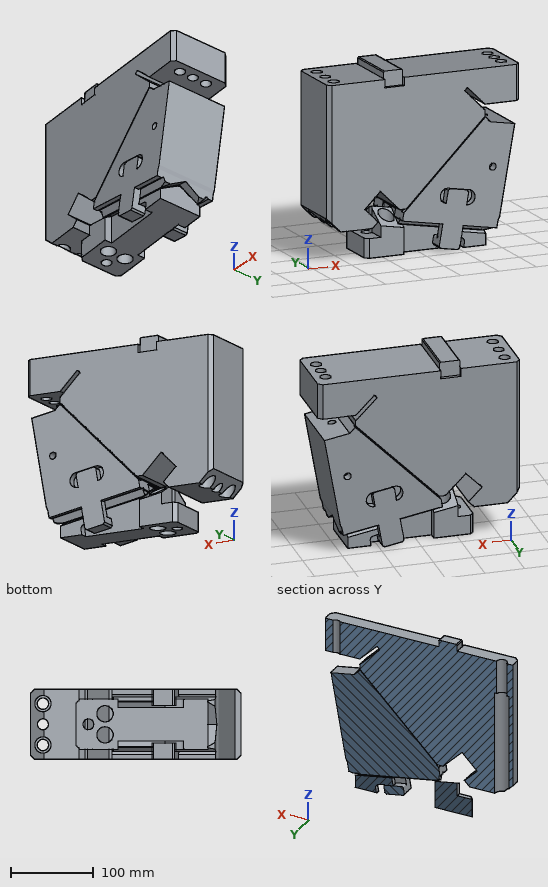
import cadquery as cq
import math

LENGTH = 255.0
WIDTH = 85.0
HALF_WIDTH = WIDTH / 2
HEIGHT = 234.0
CORNER_CHAMFER = 5.0
DOWEL_DIAMETER = 13.0
FACE_GAP = 1.0
FACE_SLOPE = 45.0

HOLDER_TOP = 225.0
HOLDER_BOTTOM = 40.5
HOLDER_END_CHAMFER = 16.8
NOSE_X = 208.3
ARM_BOTTOM = 179.5
SLOT_DEPTH = 23.5
SLOT_STEP = 3.5
NOTCH_APEX_X = 69.4
NOTCH_APEX_Z = 85.7
NOTCH_LEFT_SIDE = 20.5
NOTCH_FLOOR_SIDE = 17.3
NOTCH_RIGHT_END_Z = 60.0
HOLE_INSET = 15.3
BOLT_DIAMETER = 13.5
BOLT_HEAD_DIAMETER = 19.6
LEFT_BOLT_OFFSET = 25.0
RIGHT_BOLT_OFFSET = 20.0

KEY_START = 75.5
KEY_WIDTH = 25.5
KEY_LENGTH = 75.5
KEY_GROOVE_DEPTH = 10.5
KEY_CHAMFER = 1.3

TILT = 10.0
SLIDER_CORNER_X = 98.7
SLIDER_CORNER_Z = 45.5
SLIDER_NOSE_HEIGHT = 10.2
SLIDER_FACE_LENGTH = 153.3
SLIDER_TOP_CHAMFER = 10.0
SLIDER_TOP_LENGTH = 32.5
SLIDER_STEP_TOP = 14.5
SLIDER_STEP_BOTTOM = 9.5
SLIDER_STEP = 1.3
RIDGE_START = 1.8
END_RELIEF_WIDTH = 36.2
FACE_LEDGE = 6.5
TOP_HOLE_U = 106.0
TOP_HOLE_DIAMETER = 9.7
TOP_HOLE_DEPTH = 51.0
PIN_HOLE_X = 218.5
PIN_HOLE_Z = 100.5
PIN_HOLE_DIAMETER = 8.7
PIN_HOLE_DEPTH = 12.8
DRILL_ANGLE = 118.0

RIM_EDGE = 36.2
PEAK_EDGE = 33.0
ROOF_ANGLE = 30.0
RIDGE_DROP = 6.6
RIDGE_END_LENGTH = 10.0
RIDGE_END_RISE = 3.5
LINER_THICKNESS = 1.0
LINER_EDGE = 27.5
LINER_INSET = 2.5

PLATE_LEFT = 54.3
PLATE_WIDTH = 27.5
PLATE_TOP = 44.0
PLATE_BOTTOM = -30.3
PLATE_CHAMFER = 2.3
PLATE_INNER = 33.0
RELIEF_RADIUS = 9.5
RELIEF_TOP = 44.5
HOOK_TOP = -17.8
HOOK_INNER = 22.7
HOOK_RADIUS = 2.0

BASE_LEFT = 55.3
BASE_CHAMFER = 4.8
BASE_RIGHT = 214.7
BASE_HALF_WIDTH = 30.3
FLANGE_TOP = 24.7
BASE_STEP_X = 75.5
ROOF_EDGE_V = -10.2
RECESS_LEFT = 106.0
RECESS_DEPTH = 10.2
RECESS_CLEARANCE = 11.2
RECESS_RADIUS = 5.0
BASE_DOWEL_BACK = 1.3
BASE_BOLT_X = 90.3
BASE_BOLT_OFFSET = 12.8
BASE_BOLT_DIAMETER = 19.6

TILT_ANGLE = math.radians(TILT)
FACE_DIRECTION = FACE_SLOPE + TILT
SLIDER_FACE_ANGLE = math.radians(FACE_DIRECTION)
SLIDER_FACE_RISE = SLIDER_FACE_LENGTH * math.sin(SLIDER_FACE_ANGLE)
SLIDER_FACE_RUN = SLIDER_FACE_LENGTH * math.cos(SLIDER_FACE_ANGLE)
SLIDER_TOP = SLIDER_NOSE_HEIGHT + SLIDER_FACE_RISE - SLIDER_TOP_CHAMFER * math.cos(SLIDER_FACE_ANGLE)
SLIDER_RIGHT = SLIDER_FACE_RUN + SLIDER_TOP_CHAMFER * math.sin(SLIDER_FACE_ANGLE) + SLIDER_TOP_LENGTH

PLATE_RIGHT = PLATE_LEFT + PLATE_WIDTH
PLATE_THICKNESS = HALF_WIDTH - PLATE_INNER
RECESS_FLOOR = BASE_HALF_WIDTH - RECESS_DEPTH
ROOF_TILT = math.radians(ROOF_ANGLE)
ROOF_SLOPE = math.tan(ROOF_TILT)
PEAK_V = (RIM_EDGE - PEAK_EDGE) * ROOF_SLOPE
RIDGE_Y = PEAK_EDGE - (PEAK_V + RIDGE_DROP) * ROOF_SLOPE

FAR = 2 * LENGTH

FACE_OFFSET = (
    SLIDER_CORNER_X
    - SLIDER_CORNER_Z
    + SLIDER_NOSE_HEIGHT * (math.sin(TILT_ANGLE) - math.cos(TILT_ANGLE))
    - FACE_GAP * math.sqrt(2)
)


def upright_plane(y):
    """XZ plane at a given Y whose normal points to -Y."""
    return cq.Workplane("XZ", origin=(0, y, 0))


def tilted_plane(y):
    """UV plane of the slider at a given Y, whose normal points to -Y."""
    return cq.Workplane(
        cq.Plane(
            origin=(SLIDER_CORNER_X, y, SLIDER_CORNER_Z),
            xDir=(math.cos(TILT_ANGLE), 0, -math.sin(TILT_ANGLE)),
            normal=(0, -1, 0),
        )
    )


def section_plane(u):
    """Plane across the slider at a given U: its x is Y and its y is V."""
    corner = tilted_plane(0).plane
    return cq.Workplane(
        cq.Plane(origin=corner.toWorldCoords((u, 0, 0)), xDir=(0, 1, 0), normal=corner.xDir)
    )


def both_sides(shape):
    return shape.union(shape.mirror("XZ"))


def vertical_hole(x, y, diameter, bottom, top):
    return cq.Workplane("XY", origin=(x, y, bottom)).circle(diameter / 2).extrude(top - bottom)




def holder_block():
    notch_left_x = NOTCH_APEX_X - NOTCH_LEFT_SIDE
    notch_left_z = NOTCH_APEX_Z - NOTCH_LEFT_SIDE
    notch_tip_x = notch_left_x + NOTCH_FLOOR_SIDE
    notch_tip_z = notch_left_z - NOTCH_FLOOR_SIDE
    slot_end_x = NOSE_X - SLOT_DEPTH
    slot_end_z = ARM_BOTTOM + SLOT_DEPTH
    outline = [
        (0, HOLDER_TOP),
        (0, HOLDER_BOTTOM + HOLDER_END_CHAMFER),
        (HOLDER_END_CHAMFER, HOLDER_BOTTOM),
        (notch_tip_x - (notch_tip_z - HOLDER_BOTTOM), HOLDER_BOTTOM),
        (notch_tip_x, notch_tip_z),
        (notch_left_x, notch_left_z),
        (NOTCH_APEX_X, NOTCH_APEX_Z),
        (NOTCH_APEX_X + NOTCH_APEX_Z - NOTCH_RIGHT_END_Z, NOTCH_RIGHT_END_Z),
        (NOTCH_RIGHT_END_Z + FACE_OFFSET, NOTCH_RIGHT_END_Z),
        (NOSE_X, NOSE_X - FACE_OFFSET),
        (NOSE_X, ARM_BOTTOM - 2 * SLOT_STEP),
        (slot_end_x - SLOT_STEP, slot_end_z - SLOT_STEP),
        (slot_end_x, slot_end_z),
        (NOSE_X, ARM_BOTTOM),
        (LENGTH, ARM_BOTTOM),
        (LENGTH, HOLDER_TOP),
    ]
    profile = upright_plane(HALF_WIDTH).polyline(outline).close().extrude(WIDTH)
    plan = (
        cq.Workplane("XY")
        .center(LENGTH / 2, 0)
        .rect(LENGTH, WIDTH)
        .extrude(HOLDER_TOP)
        .edges("|Z")
        .chamfer(CORNER_CHAMFER)
    )
    return profile.intersect(plan)


def key():
    """Key standing in its groove; it is one piece with the holder."""
    bottom = HOLDER_TOP - KEY_GROOVE_DEPTH
    return (
        cq.Workplane("XY", origin=(KEY_START + KEY_WIDTH / 2, 0, bottom))
        .rect(KEY_WIDTH, KEY_LENGTH)
        .extrude(HEIGHT - bottom)
        .edges("|Y and >Z")
        .chamfer(KEY_CHAMFER)
    )


def make_holder():
    holder = holder_block()
    groove = cq.Workplane("XY", origin=(KEY_START + KEY_WIDTH / 2, 0, HOLDER_TOP - KEY_GROOVE_DEPTH))
    holder = holder.cut(groove.rect(KEY_WIDTH, WIDTH).extrude(KEY_GROOVE_DEPTH)).union(key())
    right_x = LENGTH - HOLE_INSET
    for x in (HOLE_INSET, right_x):
        holder = holder.cut(vertical_hole(x, 0, DOWEL_DIAMETER, 0, HOLDER_TOP))
    for side in (-1, 1):
        left_y = side * LEFT_BOLT_OFFSET
        holder = holder.cut(vertical_hole(HOLE_INSET, left_y, BOLT_DIAMETER, 0, HOLDER_TOP))
        holder = holder.cut(vertical_hole(HOLE_INSET, left_y, BOLT_HEAD_DIAMETER, 0, ARM_BOTTOM))
        right_y = side * RIGHT_BOLT_OFFSET
        holder = holder.cut(vertical_hole(right_x, right_y, BOLT_DIAMETER, 0, HOLDER_TOP))
    return holder




def slider_block():
    """Wedge down to the ridge level, before its underside is shaped."""
    block = (
        tilted_plane(HALF_WIDTH)
        .moveTo(RIDGE_START, -RIDGE_DROP)
        .lineTo(RIDGE_START, 0)
        .lineTo(0, 0)
        .lineTo(0, SLIDER_NOSE_HEIGHT)
        .polarLine(SLIDER_FACE_LENGTH, FACE_DIRECTION)
        .polarLine(SLIDER_TOP_CHAMFER, FACE_DIRECTION - 90)
        .line(SLIDER_TOP_LENGTH, 0)
    )
    foot = SLIDER_RIGHT - SLIDER_STEP
    return (
        block.lineTo(SLIDER_RIGHT, SLIDER_STEP_TOP)
        .lineTo(foot, SLIDER_STEP_BOTTOM)
        .lineTo(foot, RIDGE_END_RISE - RIDGE_DROP)
        .lineTo(foot - RIDGE_END_LENGTH, -RIDGE_DROP)
        .close()
        .extrude(WIDTH)
    )


def slider_top_hole():
    """Bore down into the slider from the middle of its top."""
    slider_axes = tilted_plane(0).plane
    mouth = cq.Plane(
        origin=slider_axes.toWorldCoords((TOP_HOLE_U, SLIDER_TOP, 0)),
        xDir=(0, 1, 0),
        normal=slider_axes.yDir,
    )
    return cq.Workplane(mouth).circle(TOP_HOLE_DIAMETER / 2).extrude(-TOP_HOLE_DEPTH)


def end_relief():
    """Shallow relief in the middle of the slider's low end, as deep as the setback of the ridge."""
    height = 2 * SLIDER_NOSE_HEIGHT
    return section_plane(0).rect(END_RELIEF_WIDTH, height).extrude(RIDGE_START)


def groove_roof(y):
    """V of the roof groove at a distance y from the middle."""
    return (RIDGE_Y - y) * ROOF_SLOPE - RIDGE_DROP


def roof_liner():
    """Thin raised layer on the roof groove, stopping short of both ends of the ridge."""
    start = RIDGE_START + LINER_INSET
    end = SLIDER_RIGHT - SLIDER_STEP - RIDGE_END_LENGTH - LINER_INSET
    edge_v = groove_roof(LINER_EDGE)
    lower_y = LINER_EDGE - LINER_THICKNESS * math.sin(ROOF_TILT)
    lower_v = edge_v - LINER_THICKNESS * math.cos(ROOF_TILT)
    outline = [
        (LINER_EDGE, edge_v),
        (lower_y, lower_v),
        (0, groove_roof(0) - LINER_THICKNESS / math.cos(ROOF_TILT)),
        (-lower_y, lower_v),
        (-LINER_EDGE, edge_v),
        (0, groove_roof(0)),
    ]
    return section_plane(start).polyline(outline).close().extrude(end - start)


def underside_cut():
    """Space below the slider's underside, seen along U."""
    half = [
        (HALF_WIDTH, 0),
        (RIM_EDGE, 0),
        (PEAK_EDGE, PEAK_V),
        (RIDGE_Y, -RIDGE_DROP),
    ]
    apex = (0, groove_roof(0))
    mirrored = [(-y, v) for y, v in reversed(half)]
    below = [(-HALF_WIDTH, -HALF_WIDTH), (HALF_WIDTH, -HALF_WIDTH)]
    return section_plane(-LENGTH).polyline(half + [apex] + mirrored + below).close().extrude(FAR)


def raised_face():
    """Middle of the sliding face, raised to touch the holder between two side ledges."""
    return (
        tilted_plane(HALF_WIDTH - FACE_LEDGE)
        .moveTo(0, SLIDER_NOSE_HEIGHT)
        .polarLine(SLIDER_FACE_LENGTH, FACE_DIRECTION)
        .polarLine(FACE_GAP, FACE_DIRECTION + 90)
        .lineTo(0, SLIDER_NOSE_HEIGHT + FACE_GAP / math.cos(SLIDER_FACE_ANGLE))
        .close()
        .extrude(WIDTH - 2 * FACE_LEDGE)
    )


def pin_hole():
    radius = PIN_HOLE_DIAMETER / 2
    tip = radius / math.tan(math.radians(DRILL_ANGLE / 2))
    return (
        cq.Workplane("XY", origin=(PIN_HOLE_X, -HALF_WIDTH, PIN_HOLE_Z))
        .polyline([(0, 0), (radius, 0), (radius, PIN_HOLE_DEPTH), (0, PIN_HOLE_DEPTH + tip)])
        .close()
        .revolve(360, (0, 0, 0), (0, 1, 0))
    )


def plate_relief():
    """Round ended pocket that the top of a side plate sits in."""
    middle = PLATE_LEFT + PLATE_WIDTH / 2
    return (
        tilted_plane(-PLATE_INNER)
        .center(middle, RELIEF_TOP - RELIEF_RADIUS)
        .slot2D(PLATE_WIDTH + 2 * RELIEF_RADIUS, 2 * RELIEF_RADIUS)
        .extrude(PLATE_THICKNESS)
    )


def hooked_plate():
    """Side plate whose lower end hooks inward below the ledge of the base."""

    def upright_block(inner, outer, top):
        return (
            tilted_plane(-inner)
            .center(PLATE_LEFT + PLATE_WIDTH / 2, (top + PLATE_BOTTOM) / 2)
            .rect(PLATE_WIDTH, top - PLATE_BOTTOM)
            .extrude(outer - inner)
        )

    plate = upright_block(PLATE_INNER, HALF_WIDTH, PLATE_TOP).edges("|Y").chamfer(PLATE_CHAMFER)
    hook = upright_block(HOOK_INNER, PLATE_INNER, HOOK_TOP)
    middle = hook.val().Center().z
    upper = cq.selectors.BoxSelector((0, -WIDTH, middle), (LENGTH, WIDTH, HEIGHT))
    lower = cq.selectors.BoxSelector((0, -WIDTH, -LENGTH), (LENGTH, WIDTH, middle))
    hook = hook.edges("|Y").edges(lower).chamfer(PLATE_CHAMFER)
    hook = hook.edges("|Y").edges(upper).fillet(HOOK_RADIUS)
    return plate.union(hook)


def make_slider():
    slider = slider_block().cut(underside_cut()).union(raised_face()).union(roof_liner())
    slider = slider.cut(slider_top_hole()).cut(end_relief())
    slider = slider.cut(both_sides(pin_hole())).cut(both_sides(plate_relief()))
    return slider.union(both_sides(hooked_plate()))




def base_block():
    width = 2 * BASE_HALF_WIDTH
    block = (
        cq.Workplane("XY")
        .center((BASE_LEFT + BASE_RIGHT) / 2, 0)
        .rect(BASE_RIGHT - BASE_LEFT, width)
        .extrude(HOLDER_TOP)
        .edges("|Z and <X")
        .chamfer(BASE_CHAMFER)
    )
    above_flange = (
        cq.Workplane("XY", origin=(BASE_STEP_X / 2, 0, FLANGE_TOP)).rect(BASE_STEP_X, width).extrude(LENGTH)
    )
    roof = [
        (BASE_HALF_WIDTH, ROOF_EDGE_V),
        (0, ROOF_EDGE_V + BASE_HALF_WIDTH * ROOF_SLOPE),
        (-BASE_HALF_WIDTH, ROOF_EDGE_V),
        (-BASE_HALF_WIDTH, -LENGTH),
        (BASE_HALF_WIDTH, -LENGTH),
    ]
    below_roof = section_plane(-LENGTH).polyline(roof).close().extrude(FAR)
    return block.cut(above_flange).intersect(below_roof)


def hook_recess():
    """Side recess for a hook: open at the top behind the plate, and running on below a ledge."""
    middle = PLATE_LEFT + PLATE_WIDTH / 2
    right = PLATE_RIGHT + RECESS_CLEARANCE
    run = (
        tilted_plane(-RECESS_FLOOR)
        .moveTo(-LENGTH, LENGTH)
        .lineTo(middle, LENGTH)
        .lineTo(middle, HOOK_TOP)
        .lineTo(right - RECESS_RADIUS, HOOK_TOP)
        .radiusArc((right, HOOK_TOP - RECESS_RADIUS), RECESS_RADIUS)
        .lineTo(right, -LENGTH)
        .lineTo(-LENGTH, -LENGTH)
        .close()
        .extrude(RECESS_DEPTH)
    )
    right_of_front = (
        upright_plane(0).moveTo(RECESS_LEFT, -LENGTH).rect(LENGTH, FAR, centered=False).extrude(HALF_WIDTH)
    )
    return run.intersect(right_of_front)


def make_base():
    dowel_x = BASE_STEP_X + BASE_DOWEL_BACK - DOWEL_DIAMETER / 2
    base = base_block().cut(both_sides(hook_recess()))
    base = base.cut(vertical_hole(dowel_x, 0, DOWEL_DIAMETER, 0, HOLDER_TOP))
    for side in (-1, 1):
        hole = vertical_hole(BASE_BOLT_X, side * BASE_BOLT_OFFSET, BASE_BOLT_DIAMETER, 0, HOLDER_TOP)
        base = base.cut(hole)
    return base


holder = make_holder()
slider = make_slider()
base = make_base()

result = cq.Compound.makeCompound([body.solids().val() for body in (holder, slider, base)])